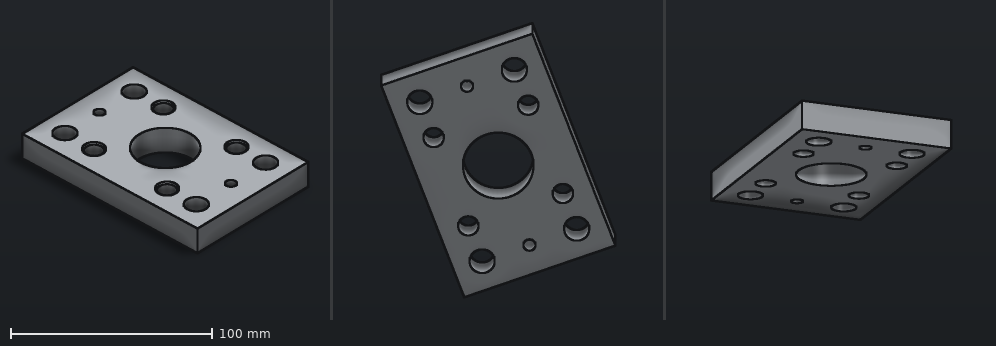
import cadquery as cq

length = 120.0
width = 80.0
thickness = 15.0

bore_diameter = 35.0
clearance_diameter = 12.5
dowel_diameter = 6.0
tapping_diameter = 10.106
countersink_diameter = 12.0
countersink_angle = 90.0

outer_column_x = 45.0
inner_column_x = 25.0
row_y = 25.0


def mirrored_corners(x, y):
    """Four points, one in each quadrant."""
    return [(sx * x, sy * y) for sx in (-1, 1) for sy in (-1, 1)]


def make_plate():
    """Rectangular plate standing on Z = 0, centred in X and Y."""
    return cq.Workplane("XY").box(length, width, thickness, centered=(True, True, False))


def cut_bore(body):
    """Central through bore."""
    return body.faces(">Z").workplane(origin=(0, 0, 0)).hole(bore_diameter)


def cut_clearance_holes(body):
    """Plain through holes near the four corners."""
    points = mirrored_corners(outer_column_x, row_y)
    return body.faces(">Z").workplane(origin=(0, 0, 0)).pushPoints(points).hole(clearance_diameter)


def cut_dowel_holes(body):
    """Small through holes on the long centreline."""
    points = [(-outer_column_x, 0), (outer_column_x, 0)]
    return body.faces(">Z").workplane(origin=(0, 0, 0)).pushPoints(points).hole(dowel_diameter)


def cut_tapping_holes(body):
    """Through holes around the bore, countersunk from the top face."""
    points = mirrored_corners(inner_column_x, row_y)
    return (
        body.faces(">Z")
        .workplane(origin=(0, 0, 0))
        .pushPoints(points)
        .cskHole(tapping_diameter, countersink_diameter, countersink_angle)
    )


result = make_plate()
result = cut_bore(result)
result = cut_clearance_holes(result)
result = cut_dowel_holes(result)
result = cut_tapping_holes(result)